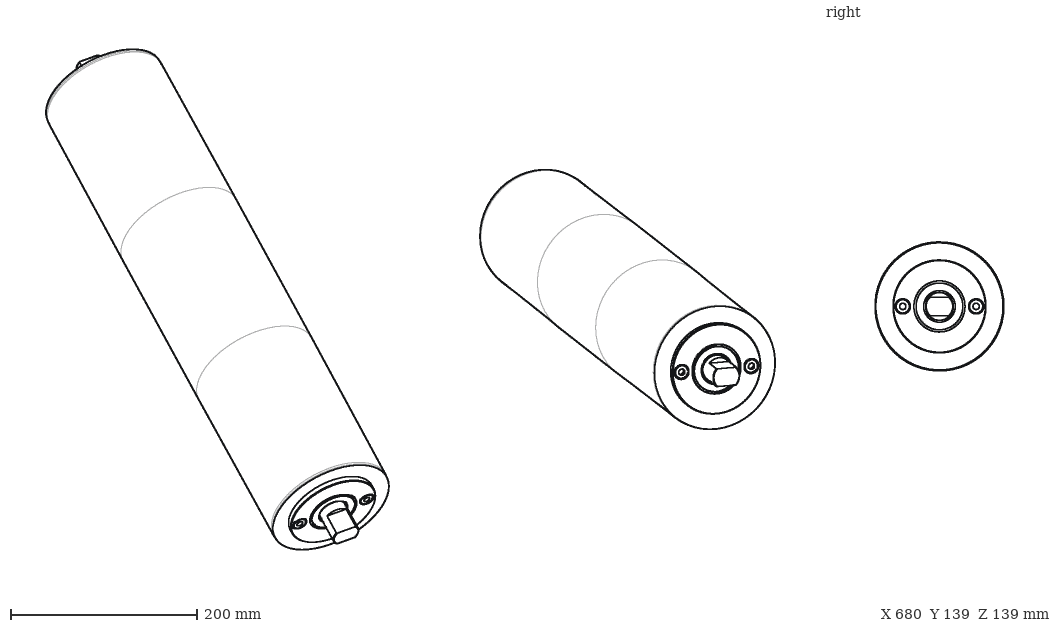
import cadquery as cq

SHAFT_LENGTH = 680.0
SHAFT_DIAMETER = 30.0
FLAT_LENGTH = 25.0
FLAT_THICKNESS = 20.0
SHAFT_CHAMFER = 1.0

SHELL_LENGTH = 600.0
SHELL_DIAMETER = 139.0
SHELL_END_DIAMETER = 137.5
CROWN_FLAT_LENGTH = 200.0
END_RIM_WIDTH = 2.0
RIM_STEP_WIDTH = 2.0
RIM_DIAMETER = 137.0

COVER_DIAMETER = 100.0
COVER_FACE_X = 306.0
COVER_CHAMFER = 1.0

SEAL_GROOVE_OUTER_DIAMETER = 55.0
SEAL_GROOVE_INNER_DIAMETER = 50.0
SHAFT_GAP_DIAMETER = 34.0
GROOVE_DEPTH = 2.0

SCREW_OFFSET = 39.5
SCREW_DIAMETER = 14.0
SCREW_HOLE_DIAMETER = 16.0
SOCKET_DIAMETER = 7.0
SOCKET_DEPTH = 4.0


def disc(diameter, x_start, x_end):
    """Cylinder about the X axis between two X positions."""
    return cq.Workplane("YZ", origin=(x_start, 0, 0)).circle(diameter / 2).extrude(x_end - x_start)


def ring(outer, inner, x_start, x_end, y=0):
    """Ring parallel to the X axis, centred at the given Y."""
    plane = cq.Workplane("YZ", origin=(x_start, y, 0))
    return plane.circle(outer / 2).circle(inner / 2).extrude(x_end - x_start)


def shell():
    """Drum with a cylindrical middle, slightly tapered ends and a narrow rim at each end."""
    end_x = SHELL_LENGTH / 2
    rim_x = end_x - END_RIM_WIDTH
    taper_x = rim_x - RIM_STEP_WIDTH
    crown_x = CROWN_FLAT_LENGTH / 2
    rim_r = RIM_DIAMETER / 2
    taper_r = SHELL_END_DIAMETER / 2
    crown_r = SHELL_DIAMETER / 2
    half_outline = [(end_x, rim_r), (rim_x, rim_r), (taper_x, taper_r), (crown_x, crown_r)]
    mirrored = [(-x, r) for x, r in reversed(half_outline)]
    outline = [(end_x, 0)] + half_outline + mirrored + [(-end_x, 0)]
    return cq.Workplane("XY").polyline(outline).close().revolve(360, (0, 0, 0), (1, 0, 0))


def shaft():
    """Round shaft with two flats, facing up and down, at each end."""
    half = SHAFT_LENGTH / 2
    body = disc(SHAFT_DIAMETER, -half, half).faces("<X or >X").chamfer(SHAFT_CHAMFER)
    middle = disc(SHAFT_DIAMETER, FLAT_LENGTH - half, half - FLAT_LENGTH)
    slab = cq.Workplane("XY").box(SHAFT_LENGTH, SHAFT_DIAMETER, FLAT_THICKNESS)
    return body.intersect(slab).union(middle)


def cover_cuts(side):
    """Grooves and screws in the cover on one end."""
    face = side * COVER_FACE_X
    floor = side * (COVER_FACE_X - GROOVE_DEPTH)
    socket_floor = side * (COVER_FACE_X - SOCKET_DEPTH)
    cuts = ring(SHAFT_GAP_DIAMETER, SHAFT_DIAMETER, floor, face)
    cuts = cuts.union(ring(SEAL_GROOVE_OUTER_DIAMETER, SEAL_GROOVE_INNER_DIAMETER, floor, face))
    for y in (-SCREW_OFFSET, SCREW_OFFSET):
        cuts = cuts.union(ring(SCREW_HOLE_DIAMETER, SCREW_DIAMETER, floor, face, y))
        cuts = cuts.union(disc(SOCKET_DIAMETER, socket_floor, face).translate((0, y, 0)))
    return cuts


covers = disc(COVER_DIAMETER, -COVER_FACE_X, COVER_FACE_X).faces("<X or >X").chamfer(COVER_CHAMFER)
result = shell().union(covers).union(shaft())
for side in (-1, 1):
    result = result.cut(cover_cuts(side))